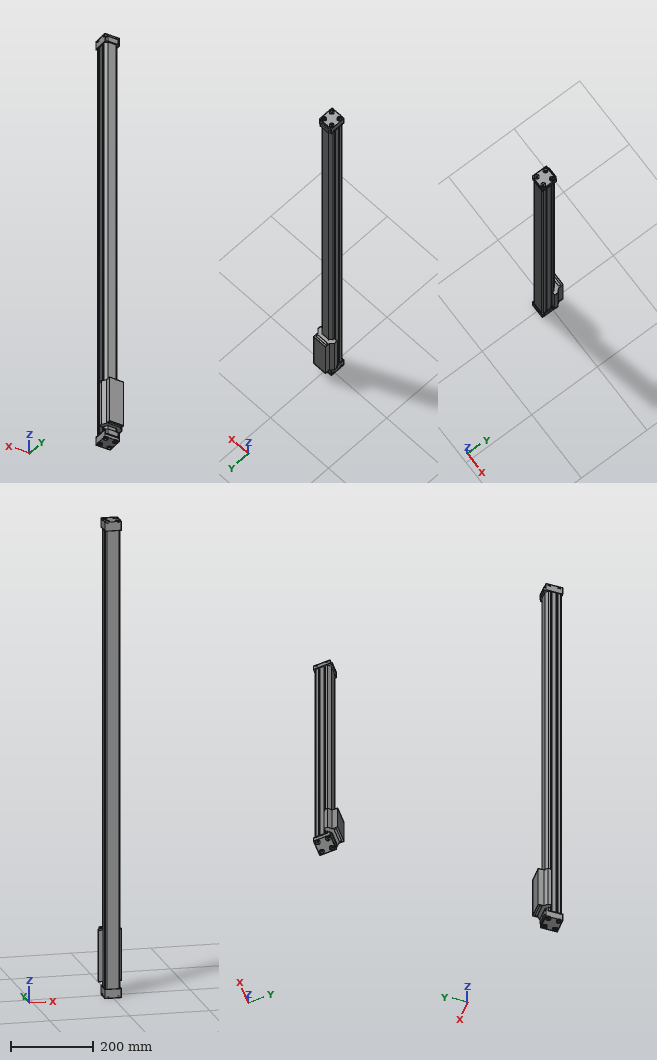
import cadquery as cq

TOTAL_LENGTH = 1200.0

CAP_LENGTH = 23.0
CAP_WIDTH = 41.0
CAP_DEPTH = 43.0
SCREW_SPACING = 26.0
COUNTERBORE_DIAMETER = 11.5
COUNTERBORE_DEPTH = 4.0
SCREW_HOLE_DIAMETER = 4.1
SCREW_HOLE_DEPTH = 12.0

CLAMP_LENGTH = 15.0
CLAMP_HEIGHT = 4.0
CLAMP_BASE_WIDTH = 36.0

BARREL_INSET = 1.8
BARREL_HALF_WIDTH = CAP_WIDTH / 2 - BARREL_INSET
BARREL_BACK_Y = BARREL_INSET
BARREL_FRONT_Y = CAP_DEPTH
BARREL_LENGTH = TOTAL_LENGTH - 2 * CAP_LENGTH
BACK_CHAMFER = 4.0
FRONT_CHAMFER = 7.0
SLOT_WIDTH = 4.0
SLOT_DEPTH = 4.0
SLOT_CENTRES_Y = (15.0, 29.0)

CARRIAGE_LENGTH = 130.0
CARRIAGE_CENTRE_Z = 100.0
CARRIAGE_BOTTOM_Z = CARRIAGE_CENTRE_Z - CARRIAGE_LENGTH / 2
CARRIAGE_FRONT_Y = 64.0
CARRIAGE_HALF_WIDTH = 20.0
WING_HALF_WIDTH = 29.0
WING_BACK_Y = 31.0
WING_FRONT_Y = 41.0

SLIDER_WIDTH = 34.0
SLIDER_THICKNESS = 6.0
SLIDER_COVER = 5.0
SLIDER_CENTRE_Y = CARRIAGE_FRONT_Y - SLIDER_COVER - SLIDER_THICKNESS / 2


def extrude_symmetric(right_half, bottom_z, length):
    """Extrude upwards an outline given by its +X half, listed from back to front."""
    left_half = [(-x, y) for x, y in reversed(right_half)]
    return (
        cq.Workplane("XY", origin=(0, 0, bottom_z))
        .polyline(right_half + left_half)
        .close()
        .extrude(length)
    )


def make_bar(bottom_z, length):
    """Plain barrel section, chamfered at its back and front corners."""
    right_half = [
        (BARREL_HALF_WIDTH - BACK_CHAMFER, BARREL_BACK_Y),
        (BARREL_HALF_WIDTH, BARREL_BACK_Y + BACK_CHAMFER),
        (BARREL_HALF_WIDTH, BARREL_FRONT_Y - FRONT_CHAMFER),
        (BARREL_HALF_WIDTH - FRONT_CHAMFER, BARREL_FRONT_Y),
    ]
    return extrude_symmetric(right_half, bottom_z, length)


def make_barrel():
    """Barrel with two long mounting slots in each side."""
    slot_places = [(side * BARREL_HALF_WIDTH, y) for side in (-1, 1) for y in SLOT_CENTRES_Y]
    slots = (
        cq.Workplane("XY", origin=(0, 0, CAP_LENGTH))
        .pushPoints(slot_places)
        .rect(2 * SLOT_DEPTH, SLOT_WIDTH)
        .extrude(BARREL_LENGTH)
    )
    return make_bar(CAP_LENGTH, BARREL_LENGTH).cut(slots)


def make_clamp(bottom_z):
    """Dovetail clamp on the front face of the cap, next to the barrel."""
    right_half = [
        (CLAMP_BASE_WIDTH / 2, CAP_DEPTH),
        (CLAMP_BASE_WIDTH / 2 - CLAMP_HEIGHT, CAP_DEPTH + CLAMP_HEIGHT),
    ]
    return extrude_symmetric(right_half, bottom_z, CLAMP_LENGTH)


def make_top_cap():
    """End cap with four counterbored screw holes in its end face."""
    seam_z = TOTAL_LENGTH - CAP_LENGTH
    block = (
        cq.Workplane("XY", origin=(0, CAP_DEPTH / 2, seam_z))
        .rect(CAP_WIDTH, CAP_DEPTH)
        .extrude(CAP_LENGTH)
        .faces(">Z")
        .workplane()
        .rect(SCREW_SPACING, SCREW_SPACING, forConstruction=True)
        .vertices()
        .cboreHole(SCREW_HOLE_DIAMETER, COUNTERBORE_DIAMETER, COUNTERBORE_DEPTH, SCREW_HOLE_DEPTH)
    )
    return block.union(make_clamp(seam_z))


def make_housing():
    """Barrel closed by two end caps that mirror each other about mid-length."""
    top_cap = make_top_cap()
    bottom_cap = top_cap.mirror("XY", (0, 0, TOTAL_LENGTH / 2))
    return make_barrel().union(top_cap).union(bottom_cap)


def make_slider():
    """Flat rectangular bar as long as the carriage."""
    return (
        cq.Workplane("XY", origin=(0, SLIDER_CENTRE_Y, CARRIAGE_BOTTOM_Z))
        .rect(SLIDER_WIDTH, SLIDER_THICKNESS)
        .extrude(CARRIAGE_LENGTH)
    )


def make_carriage(slider):
    """Carriage with 45 degree shoulders and side wings, hollowed for the barrel and the slider."""
    shoulder = WING_HALF_WIDTH - CARRIAGE_HALF_WIDTH
    right_half = [
        (WING_HALF_WIDTH, WING_BACK_Y),
        (WING_HALF_WIDTH, WING_FRONT_Y),
        (CARRIAGE_HALF_WIDTH, WING_FRONT_Y + shoulder),
        (CARRIAGE_HALF_WIDTH, CARRIAGE_FRONT_Y),
    ]
    block = extrude_symmetric(right_half, CARRIAGE_BOTTOM_Z, CARRIAGE_LENGTH)
    return block.cut(make_bar(CARRIAGE_BOTTOM_Z, CARRIAGE_LENGTH)).cut(slider)


housing = make_housing()
slider = make_slider()
carriage = make_carriage(slider)

result = cq.Compound.makeCompound([housing.val(), slider.val(), carriage.val()])